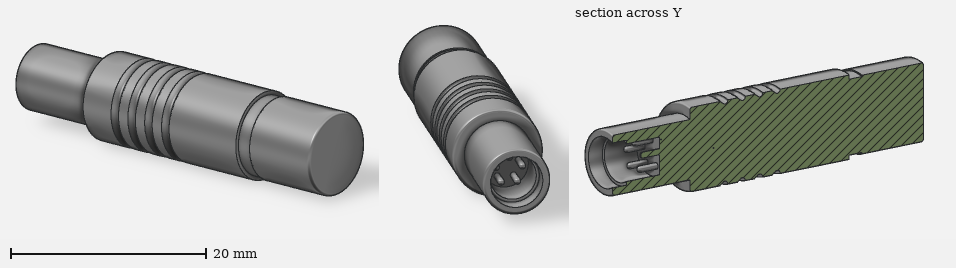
import cadquery as cq
import math

LENGTH = 40.0
BODY_START = 9.9
BODY_END = 30.4
TAIL_START = 32.0

TUBE_DIAMETER = 7.0
BODY_DIAMETER = 9.4
NECK_DIAMETER = 8.55
TAIL_DIAMETER = 8.85

TUBE_ROUND = 0.3
BODY_ROUND = 0.3
TAIL_ROUND = 0.3

GROOVE_COUNT = 4
GROOVE_PITCH = 2.25
LAST_GROOVE_END = 21.5
GROOVE_WIDTH = 1.0
SLOPE_WIDTH = GROOVE_WIDTH / 2
SLOPE_DEPTH = 0.3
GROOVE_DEPTH = 0.35
GROOVE_BOTTOM_SETBACK = 0.3

MOUTH_DIAMETER = 5.45
MOUTH_DEPTH = 1.8
BORE_DIAMETER = 4.8
BORE_DEPTH = 6.0
PIN_COUNT = 5
PIN_DIAMETER = 0.7
PIN_LENGTH = 2.4
PIN_CIRCLE_RADIUS = 1.45


def cylinder(diameter, start, end):
    """Solid cylinder on the X axis between two positions."""
    return cq.Workplane("YZ", origin=(start, 0, 0)).circle(diameter / 2).extrude(end - start)


def make_groove(end):
    """Ring to be cut from the body, with its steep wall at x = end."""
    surface = BODY_DIAMETER / 2
    return (
        cq.Workplane("XY")
        .moveTo(end - GROOVE_WIDTH, surface)
        .lineTo(end - SLOPE_WIDTH, surface - SLOPE_DEPTH)
        .threePointArc((end - GROOVE_BOTTOM_SETBACK, surface - GROOVE_DEPTH), (end, surface))
        .close()
        .revolve(360, (0, 0, 0), (1, 0, 0))
    )


def make_pin(angle):
    """Round-tipped contact pin standing on the bore floor."""
    y = PIN_CIRCLE_RADIUS * math.cos(angle)
    z = PIN_CIRCLE_RADIUS * math.sin(angle)
    tip_radius = PIN_DIAMETER / 2
    tip_centre = BORE_DEPTH - PIN_LENGTH + tip_radius
    foot = BORE_DEPTH + tip_radius
    shank = cylinder(PIN_DIAMETER, tip_centre, foot).translate((0, y, z))
    tip = cq.Workplane("XY").sphere(tip_radius).translate((tip_centre, y, z))
    return shank.union(tip)


tube = cylinder(TUBE_DIAMETER, 0, BODY_START).faces("<X").edges().fillet(TUBE_ROUND)
body = cylinder(BODY_DIAMETER, BODY_START, BODY_END).faces("<X").edges().fillet(BODY_ROUND)
neck = cylinder(NECK_DIAMETER, BODY_END, TAIL_START)
tail = cylinder(TAIL_DIAMETER, TAIL_START, LENGTH).faces(">X").edges().fillet(TAIL_ROUND)
for i in range(GROOVE_COUNT):
    body = body.cut(make_groove(LAST_GROOVE_END - i * GROOVE_PITCH))
result = tube.union(body).union(neck).union(tail)

result = result.cut(cylinder(MOUTH_DIAMETER, 0, MOUTH_DEPTH))
result = result.cut(cylinder(BORE_DIAMETER, MOUTH_DEPTH, BORE_DEPTH))

for i in range(PIN_COUNT):
    result = result.union(make_pin(math.pi / 2 + i * 2 * math.pi / PIN_COUNT))